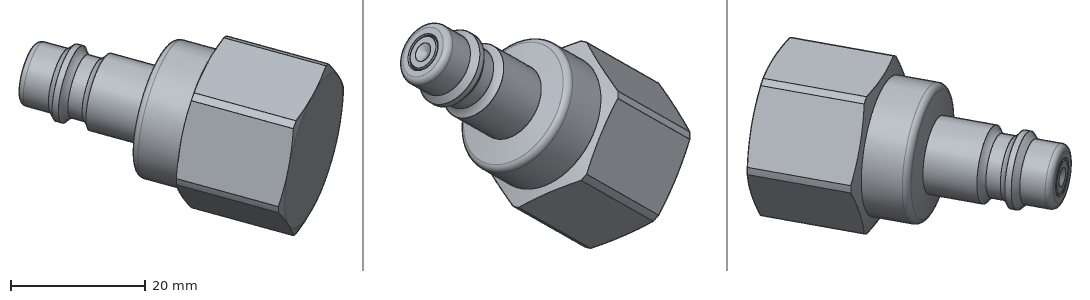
import cadquery as cq
import math

length = 45.5
nose_end = 5.0
ridge_start = 6.0
ridge_end = 7.0
neck_start = 8.1
neck_end = 10.37
shank_start = 11.4
shank_end = 19.95
collar_end = 28.05

nose_diameter = 10.0
shank_diameter = 12.0
neck_diameter = 9.85
neck_flank_hollow = 0.1
collar_diameter = 21.5
nose_round = 1.0
collar_face_diameter = 19.75
collar_face_setback = 0.55
collar_round_end = 21.55

across_flats = 24.0
across_corners = 27.0
chamfer_angle = 15.0

valve_gap_outer = 5.6
valve_gap_inner = 5.45
valve_gap_depth = 1.0
valve_edge_chamfer = 0.2
dimple_diameter = 3.0
dimple_depth = 0.85


def revolve_about_x(profile):
    return profile.close().revolve(360, (0, 0, 0), (1, 0, 0))


def make_plug():
    nose_radius = nose_diameter / 2
    shank_radius = shank_diameter / 2
    neck_radius = neck_diameter / 2
    collar_radius = collar_diameter / 2
    hollow_offset = neck_flank_hollow * math.sqrt(0.5)
    flank_middle_radius = (neck_radius + shank_radius) / 2 - hollow_offset
    ridge_flank_middle = ((ridge_end + neck_start) / 2 - hollow_offset, flank_middle_radius)
    shank_flank_middle = ((neck_end + shank_start) / 2 + hollow_offset, flank_middle_radius)
    collar_face_x = shank_end + collar_face_setback
    round_offset = nose_round * (1 - math.sqrt(0.5))
    rim_width = collar_round_end - collar_face_x
    rim_drop = collar_radius - collar_face_diameter / 2
    rim_radius = (rim_width**2 + rim_drop**2) / (2 * rim_drop)
    half_sweep = math.asin(rim_width / rim_radius) / 2
    rim_middle = (
        collar_round_end - rim_radius * math.sin(half_sweep),
        collar_radius - rim_radius * (1 - math.cos(half_sweep)),
    )
    collar_edge = (collar_face_x, collar_face_diameter / 2)
    profile = (
        cq.Workplane("XY")
        .lineTo(0, nose_radius - nose_round)
        .threePointArc((round_offset, nose_radius - round_offset), (nose_round, nose_radius))
        .lineTo(nose_end, nose_radius)
        .lineTo(ridge_start, shank_radius)
        .lineTo(ridge_end, shank_radius)
        .threePointArc(ridge_flank_middle, (neck_start, neck_radius))
        .lineTo(neck_end, neck_radius)
        .threePointArc(shank_flank_middle, (shank_start, shank_radius))
        .lineTo(shank_end, shank_radius)
        .lineTo(*collar_edge)
        .threePointArc(rim_middle, (collar_round_end, collar_radius))
        .lineTo(collar_end, collar_radius)
        .lineTo(collar_end, 0)
    )
    return revolve_about_x(profile)


def make_nut():
    hexagon = (
        cq.Workplane("YZ", origin=(collar_end, 0, 0))
        .polygon(6, across_flats, circumscribed=True)
        .extrude(length - collar_end)
        .rotate((0, 0, 0), (1, 0, 0), 90)
    )
    collar_radius = collar_diameter / 2
    flat_radius = across_flats / 2
    outer_radius = across_corners / 2
    slope = math.tan(math.radians(chamfer_angle))
    front_x = collar_end + (outer_radius - collar_radius) * slope
    back_x = length - (outer_radius - flat_radius) * slope
    envelope = (
        cq.Workplane("XY")
        .moveTo(collar_end, 0)
        .lineTo(collar_end, collar_radius)
        .lineTo(front_x, outer_radius)
        .lineTo(back_x, outer_radius)
        .lineTo(length, flat_radius)
        .lineTo(length, 0)
    )
    return hexagon.intersect(revolve_about_x(envelope))


def make_valve_gap():
    outer_radius = valve_gap_outer / 2
    inner_radius = valve_gap_inner / 2
    profile = (
        cq.Workplane("XY")
        .moveTo(0, inner_radius - valve_edge_chamfer)
        .lineTo(0, outer_radius + valve_edge_chamfer)
        .lineTo(valve_edge_chamfer, outer_radius)
        .lineTo(valve_gap_depth, outer_radius)
        .lineTo(valve_gap_depth, inner_radius)
        .lineTo(valve_edge_chamfer, inner_radius)
    )
    return revolve_about_x(profile)


def make_dimple():
    profile = cq.Workplane("XY").lineTo(0, dimple_diameter / 2).lineTo(dimple_depth, 0)
    return revolve_about_x(profile)


result = make_plug().union(make_nut()).cut(make_valve_gap()).cut(make_dimple())